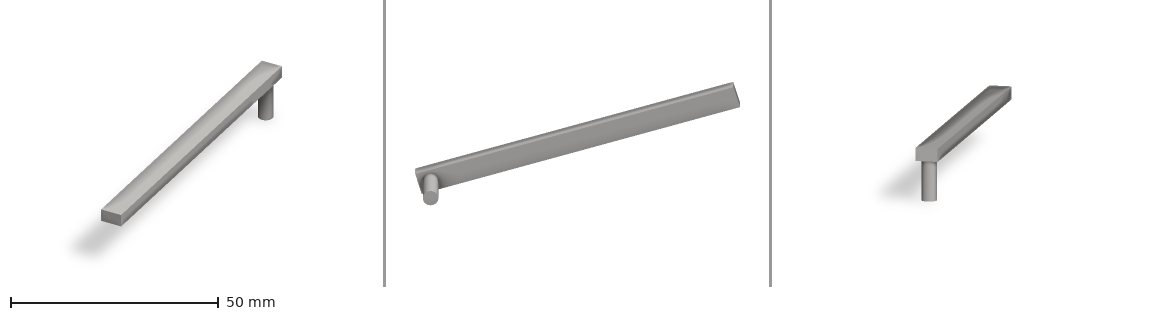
import cadquery as cq

bar_length = 80.0
bar_width = 5.5
bar_thickness = 3.2

total_height = 13.3
pin_diameter = 3.8
pin_length = total_height - bar_thickness
pin_end_distance = 3.0

bar = cq.Workplane("XY").box(bar_width, bar_length, bar_thickness, centered=(True, True, False))

pin = (
    cq.Workplane("XY")
    .center(0, bar_length / 2 - pin_end_distance)
    .circle(pin_diameter / 2)
    .extrude(-pin_length)
)

result = bar.union(pin)